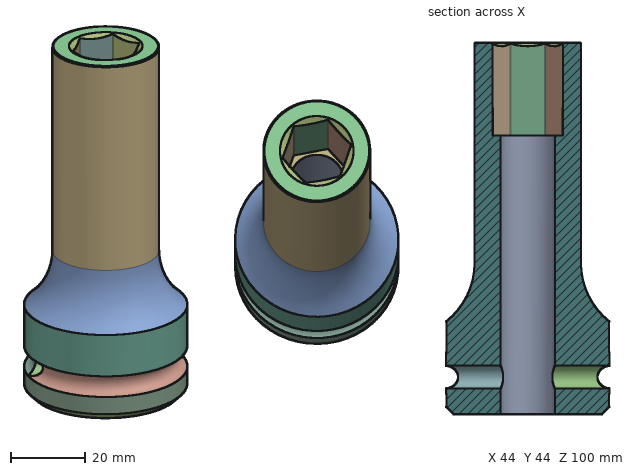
import cadquery as cq
import math

length = 100.0
body_radius = 22.0
tube_radius = 14.4
base_chamfer = 2.0
nose_chamfer_width = 0.3
nose_chamfer_height = 0.3

shoulder_z = 25.0
shoulder_radius = 20.0
arc_center_r = tube_radius + shoulder_radius
arc_start_angle = math.acos((arc_center_r - body_radius) / shoulder_radius)
neck_z = shoulder_z + shoulder_radius * math.sin(arc_start_angle)

pin_z = 10.0
pin_radius = 3.0

bore_diameter = 14.5
hex_across_flats = 16.3
hex_corner_radius = 0.3
hex_depth = 25.0
mouth_radius = 9.9
mouth_angle = 30.0


def make_body():
    mid_angle = arc_start_angle / 2
    arc_middle = (
        arc_center_r - shoulder_radius * math.cos(mid_angle),
        neck_z - shoulder_radius * math.sin(mid_angle),
    )
    profile = (
        cq.Workplane("XZ")
        .lineTo(body_radius - base_chamfer, 0)
        .lineTo(body_radius, base_chamfer)
        .lineTo(body_radius, pin_z - pin_radius)
        .threePointArc((body_radius - pin_radius, pin_z), (body_radius, pin_z + pin_radius))
        .lineTo(body_radius, shoulder_z)
        .threePointArc(arc_middle, (tube_radius, neck_z))
        .lineTo(tube_radius, length - nose_chamfer_height)
        .lineTo(tube_radius - nose_chamfer_width, length)
        .lineTo(0, length)
        .close()
    )
    return profile.revolve(360, (0, 0), (0, 1))


def make_hex_socket():
    across_corners = hex_across_flats / math.cos(math.pi / 6)
    return (
        cq.Workplane("XY")
        .workplane(offset=length - hex_depth)
        .transformed(rotate=(0, 0, 90))
        .polygon(6, across_corners)
        .extrude(hex_depth)
        .edges("|Z")
        .fillet(hex_corner_radius)
    )


def make_mouth_cone():
    cone_depth = mouth_radius * math.tan(math.radians(mouth_angle))
    return (
        cq.Workplane("XZ")
        .moveTo(0, length)
        .lineTo(mouth_radius, length)
        .lineTo(0, length - cone_depth)
        .close()
        .revolve(360, (0, 0), (0, 1))
    )


def make_bore():
    return cq.Workplane("XY").circle(bore_diameter / 2).extrude(length)


def make_pin_hole():
    return (
        cq.Workplane("XZ")
        .center(0, pin_z)
        .circle(pin_radius)
        .extrude(body_radius, both=True)
    )


result = make_body()
for cutter in (make_hex_socket(), make_mouth_cone(), make_bore(), make_pin_hole()):
    result = result.cut(cutter)